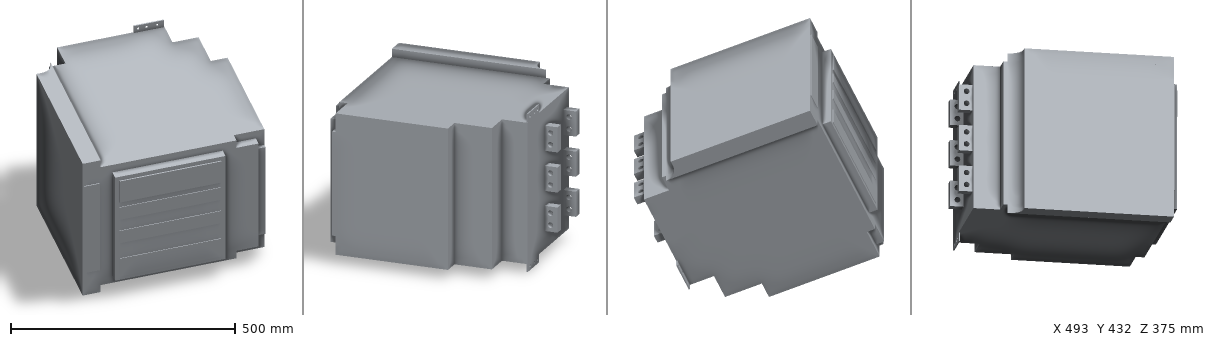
import cadquery as cq

BODY_LENGTH = 440.0
BODY_HEIGHT = 335.5
TOTAL_HEIGHT = 375.0
STRIP_HEIGHT = (TOTAL_HEIGHT - BODY_HEIGHT) / 2

TERMINAL_FACE_HALF_WIDTH = 125.5
STEP_1_X = 60.5
STEP_1_Y = 186.5
STEP_2_X = 150.5
BACK_Y = 226.0

LEDGE_BACK_Y = -163.5
LEDGE_FRONT_Y = -206.0
COVE_RADIUS = 30.5
COVE_START_X = 70.0
COVE_END_X = COVE_START_X + COVE_RADIUS
COVE_CENTER_Y = LEDGE_BACK_Y - COVE_RADIUS

NOTCH_X = 19.5
NOTCH_Y = 71.5
WEB_THICKNESS = 9.0
WEB_WIDTH = 19.5
WEB_HEIGHT = 246.8

PANEL_THICKNESS = 20.0
PANEL_WIDTH = 258.5
PANEL_HEIGHT = 293.0
PANEL_CENTER_Y = -7.0
DISPLAY_THICKNESS = 3.0
LABEL_THICKNESS = 1.5
PLATE_WIDTH = 238.0
DISPLAY_HEIGHT = 60.0
DISPLAY_Z = 105.5
LABEL_SPANS = [(25.0, 60.0), (-41.5, -6.5), (-136.0, -85.5)]

END_PLATE_THICKNESS = 2.0
END_PLATE_WIDTH = 36.5
END_PLATE_HEIGHT = 246.8
END_PLATE_Y = (LEDGE_BACK_Y + LEDGE_FRONT_Y) / 2

EAR_THICKNESS = 3.0
EAR_WIDTH = 70.0
EAR_CENTER_Y = 89.0
EAR_HOLE_DIAMETER = 6.0
EAR_HOLE_YS = [63.5, 83.5, 108.5]
EAR_HOLE_Z = (BODY_HEIGHT + STRIP_HEIGHT) / 2

BUSBAR_LENGTH = 30.0
BUSBAR_THICKNESS = 20.0
BUSBAR_HEIGHT = 59.5
BUSBAR_YS = [8.5, -103.0]
BUSBAR_PITCH = 95.0
BUSBAR_HOLE_DIAMETER = 13.0
BUSBAR_HOLE_SPACING = 28.0
BUSBAR_HOLE_X = -13.5


def box(x_start, length, y_center, width, z_center, height):
    """Box running from x_start along +X, centred in Y and Z."""
    return (
        cq.Workplane("XY")
        .box(length, width, height, centered=(False, True, True))
        .translate((x_start, y_center, z_center))
    )


def make_block():
    """Stepped housing block behind the front ledge."""
    return (
        cq.Workplane("XY")
        .workplane(offset=-BODY_HEIGHT / 2)
        .moveTo(STEP_1_X, LEDGE_BACK_Y)
        .lineTo(BODY_LENGTH, LEDGE_BACK_Y)
        .lineTo(BODY_LENGTH, BACK_Y)
        .lineTo(STEP_2_X, BACK_Y)
        .lineTo(STEP_2_X, STEP_1_Y)
        .lineTo(STEP_1_X, STEP_1_Y)
        .lineTo(STEP_1_X, TERMINAL_FACE_HALF_WIDTH)
        .lineTo(0, TERMINAL_FACE_HALF_WIDTH)
        .lineTo(0, -TERMINAL_FACE_HALF_WIDTH)
        .lineTo(STEP_1_X, -TERMINAL_FACE_HALF_WIDTH)
        .close()
        .extrude(BODY_HEIGHT)
    )


def make_ledge(z_bottom, height):
    """Front ledge profile with its cove, extruded upward from z_bottom."""
    cove_end = (COVE_END_X, COVE_CENTER_Y)
    return (
        cq.Workplane("XY")
        .workplane(offset=z_bottom)
        .moveTo(COVE_START_X, LEDGE_BACK_Y)
        .radiusArc(cove_end, COVE_RADIUS)
        .lineTo(COVE_END_X, LEDGE_FRONT_Y)
        .lineTo(BODY_LENGTH, LEDGE_FRONT_Y)
        .lineTo(BODY_LENGTH, LEDGE_BACK_Y)
        .close()
        .extrude(height)
    )


def make_notch():
    """Full-height corner notch, less the block and web that stand in it."""
    start_x = BODY_LENGTH - NOTCH_X
    block_width = NOTCH_Y - WEB_WIDTH
    block_y = BACK_Y - WEB_WIDTH - block_width / 2
    web_y = BACK_Y - WEB_WIDTH / 2
    notch = box(start_x, NOTCH_X, BACK_Y - NOTCH_Y / 2, NOTCH_Y, 0, BODY_HEIGHT)
    block = box(start_x, NOTCH_X, block_y, block_width, 0, PANEL_HEIGHT)
    web = box(start_x, WEB_THICKNESS, web_y, WEB_WIDTH, 0, WEB_HEIGHT)
    return notch.cut(block).cut(web)


def make_panel():
    """Control panel with its display and labels."""
    face_x = BODY_LENGTH + PANEL_THICKNESS
    panel = box(BODY_LENGTH, PANEL_THICKNESS, PANEL_CENTER_Y, PANEL_WIDTH, 0, PANEL_HEIGHT)
    panel = panel.union(
        box(face_x, DISPLAY_THICKNESS, PANEL_CENTER_Y, PLATE_WIDTH, DISPLAY_Z, DISPLAY_HEIGHT)
    )
    for bottom, top in LABEL_SPANS:
        label_z = (bottom + top) / 2
        panel = panel.union(
            box(face_x, LABEL_THICKNESS, PANEL_CENTER_Y, PLATE_WIDTH, label_z, top - bottom)
        )
    return panel


def make_mounting_plate():
    """Thin upright plate with a row of holes in each ear."""
    plate = box(0, EAR_THICKNESS, EAR_CENTER_Y, EAR_WIDTH, 0, TOTAL_HEIGHT)
    hole_points = [(y, side * EAR_HOLE_Z) for side in (-1, 1) for y in EAR_HOLE_YS]
    holes = (
        cq.Workplane("YZ")
        .pushPoints(hole_points)
        .circle(EAR_HOLE_DIAMETER / 2)
        .extrude(EAR_THICKNESS)
    )
    return plate.cut(holes)


def make_busbar(y, z):
    """Busbar terminal standing out of the -X face, drilled through along Y."""
    bar = box(-BUSBAR_LENGTH, BUSBAR_LENGTH, y, BUSBAR_THICKNESS, z, BUSBAR_HEIGHT)
    hole_points = [(BUSBAR_HOLE_X, z + side * BUSBAR_HOLE_SPACING / 2) for side in (-1, 1)]
    holes = (
        cq.Workplane("XZ", origin=(0, y, 0))
        .pushPoints(hole_points)
        .circle(BUSBAR_HOLE_DIAMETER / 2)
        .extrude(BUSBAR_THICKNESS, both=True)
    )
    return bar.cut(holes)


def make_housing():
    """Main body: block, middle of the ledge, panel, plates and busbars in one solid."""
    housing = make_block().union(make_ledge(-BODY_HEIGHT / 2, BODY_HEIGHT))
    housing = housing.cut(make_notch())
    housing = housing.union(make_panel())
    housing = housing.union(
        box(BODY_LENGTH, END_PLATE_THICKNESS, END_PLATE_Y, END_PLATE_WIDTH, 0, END_PLATE_HEIGHT)
    )
    housing = housing.union(make_mounting_plate())
    for y in BUSBAR_YS:
        for row in (-1, 0, 1):
            housing = housing.union(make_busbar(y, row * BUSBAR_PITCH))
    return housing


housing = make_housing()
edge_strips = []
for strip_bottom in (-TOTAL_HEIGHT / 2, BODY_HEIGHT / 2):
    edge_strips.append(make_ledge(strip_bottom, STRIP_HEIGHT).val())

result = cq.Compound.makeCompound([housing.val(), *edge_strips])